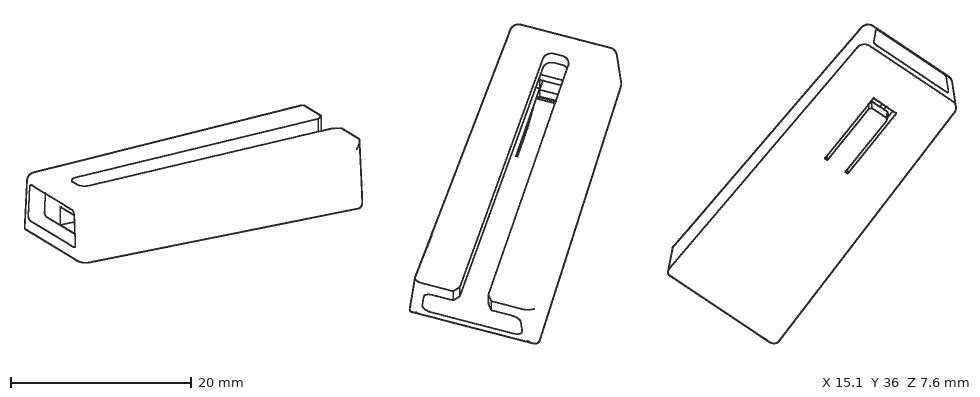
import cadquery as cq
import math

length = 36.0
back_width = 15.1
back_height = 7.6
top_taper = 1.4
side_taper = 1.4
side_draft = 5.0
edge_radius = 1.0

wall = 1.5
cavity_floor = 1.8
roof_thickness = 1.98
cavity_front = 4.9
cavity_radius = 1.0

slot_end = 3.0
slot_front_width = 2.9
slot_back_width = 3.3
slot_radius = 1.0
mouth_flare = 0.55
mouth_length = 0.72

recess_depth = 2.0
recess_taper = 3.0
recess_top = 5.7
recess_wall = 1.35
recess_radius = 0.45
window_width = 3.15
window_bottom = 1.5
window_top = 3.67

tongue_root = 14.0
tongue_tip = 5.98
tongue_base_width = 2.45
tongue_height = 2.45
ramp_start = 10.0
ramp_end = 7.38
tip_chamfer = 0.65
tip_corner = 0.25

draft_run = math.tan(math.radians(side_draft))
top_slope = math.tan(math.radians(top_taper))
side_slope = math.tan(math.radians(side_taper))


def body_height(y):
    return back_height - top_slope * (length - y)


def body_half_width(y, z):
    return back_width / 2 - side_slope * (length - y) - draft_run * z


def section(workplane, y, inset, bottom, top):
    """Outline across the body at y, with sides parallel to the body's, moved in by inset."""
    low = body_half_width(y, bottom) - inset
    high = body_half_width(y, top) - inset
    return workplane.polyline([(-low, bottom), (low, bottom), (high, top), (-high, top)]).close()


def wedge(y_front, inset, bottom, top_drop):
    """Solid from y_front to the back, with its top parallel to the body's and top_drop below it."""
    front = cq.Workplane("XZ", origin=(0, y_front, 0))
    front = section(front, y_front, inset, bottom, body_height(y_front) - top_drop)
    back = front.workplane(offset=y_front - length)
    return section(back, length, inset, bottom, back_height - top_drop).loft(ruled=True)


def block(width, y_front, y_back, bottom, top):
    size = (width, y_back - y_front, top - bottom)
    return cq.Workplane("XY").box(*size, centered=(True, False, False)).translate((0, y_front, bottom))


def make_body():
    body = wedge(0, 0, 0, 0)
    upper_edges = "(not <Z) and (not (|X and >Y))"
    back_base_edge = "<Z and >Y"
    return body.edges(f"({upper_edges}) or ({back_base_edge})").fillet(edge_radius)


def make_cavity():
    cavity = wedge(cavity_front, wall, cavity_floor, roof_thickness)
    return cavity.edges("(not <Y) and (not >Y)").fillet(cavity_radius)


def make_slot():
    """Tapered slot down to the roof's underside, with a chamfered mouth at the back."""
    front = slot_front_width / 2
    back = slot_back_width / 2
    mouth = back + mouth_flare
    slot = (
        cq.Workplane("XY")
        .polyline(
            [
                (-front, slot_end),
                (front, slot_end),
                (back, length - mouth_length),
                (mouth, length),
                (-mouth, length),
                (-back, length - mouth_length),
            ]
        )
        .close()
        .extrude(back_height)
        .edges("|Z and <Y")
        .fillet(slot_radius)
    )
    below_roof = wedge(0, 0, 0, roof_thickness)
    return slot.cut(below_roof)


def make_recess():
    opening = section(cq.Workplane("XZ"), 0, recess_wall, recess_wall, recess_top)
    recess = opening.extrude(-recess_depth, taper=recess_taper)
    return recess.edges("(not <Y) and (not >Y)").fillet(recess_radius)


def make_tongue():
    """Floor strip that rises to a chamfered latch at its free front tip."""
    profile = [
        (tongue_root, 0),
        (tongue_root, cavity_floor),
        (ramp_start, cavity_floor),
        (ramp_end, tongue_height),
        (tongue_tip + tip_chamfer, tongue_height),
        (tongue_tip, tongue_height - tip_chamfer),
        (tongue_tip, 0),
    ]
    strip = cq.Workplane("YZ").polyline(profile).close().extrude(window_width / 2, both=True)
    base = tongue_base_width / 2
    top = base + draft_run * tongue_height
    width_limit = (
        cq.Workplane("XZ", origin=(0, tongue_tip, 0))
        .polyline([(-base, 0), (base, 0), (top, tongue_height), (-top, tongue_height)])
        .close()
        .extrude(tongue_tip - tongue_root)
        .edges("<Y and (not |X)")
        .chamfer(tip_corner)
    )
    return strip.intersect(width_limit)


window = block(window_width, 0, cavity_front, window_bottom, window_top)
floor_opening = block(window_width, cavity_front, tongue_root, 0, cavity_floor)

result = (
    make_body()
    .cut(make_cavity())
    .cut(make_slot())
    .cut(make_recess())
    .cut(window)
    .cut(floor_opening)
    .union(make_tongue())
)